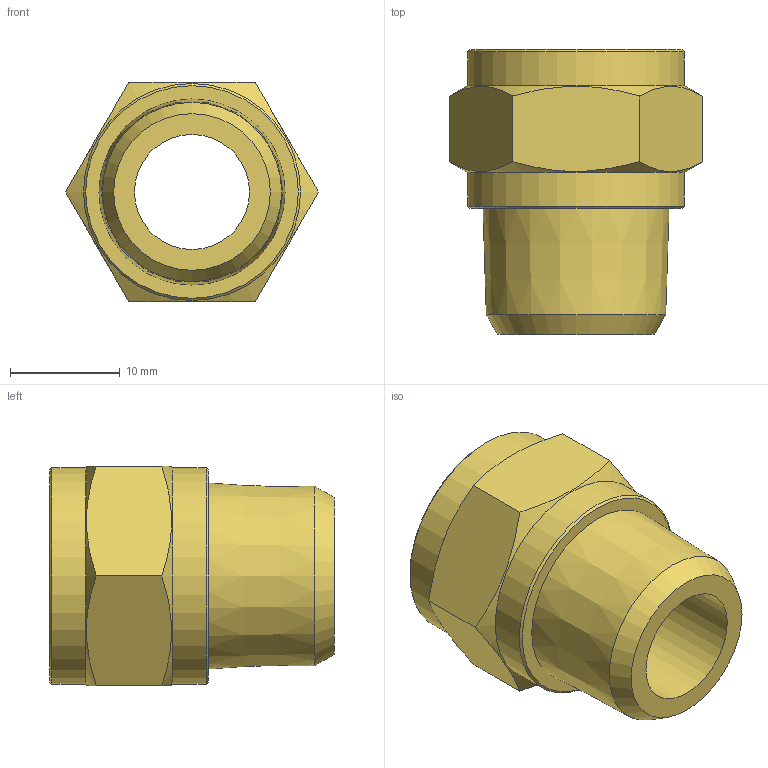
import cadquery as cq
import math

total_length = 26.0
body_length = 14.5
hex_length = 7.9
collar_length = (body_length - hex_length) / 2

across_flats = 20.0
across_corners = across_flats / math.cos(math.radians(30))
collar_diameter = 19.8
collar_chamfer = 0.2
hex_chamfer_angle = 30.0

spigot_root_diameter = 16.98
spigot_taper = 1 / 16
tip_diameter = 14.3
tip_length = 1.8
bore_diameter = 10.5

tip_y = -total_length / 2
rear_y = total_length / 2
tip_end_y = tip_y + tip_length
body_y = rear_y - body_length
hex_front_y = body_y + collar_length
hex_rear_y = hex_front_y + hex_length


def revolve_profile(points):
    """Revolve a closed (radius, y) profile about the Y axis."""
    return cq.Workplane("XY").polyline(points).close().revolve(360, (0, 0, 0), (0, 1, 0))


def make_collars():
    """Cylinder through the hexagon, showing as a collar on either side."""
    radius = collar_diameter / 2
    return revolve_profile([
        (0, body_y),
        (radius - collar_chamfer, body_y),
        (radius, body_y + collar_chamfer),
        (radius, rear_y - collar_chamfer),
        (radius - collar_chamfer, rear_y),
        (0, rear_y),
    ])


def make_hexagon():
    """Hexagonal prism with flats facing +Z and -Z and conically chamfered corners."""
    prism = (
        cq.Workplane("XZ", origin=(0, hex_rear_y, 0))
        .polygon(6, across_corners)
        .extrude(hex_length)
    )
    inner_radius = collar_diameter / 2
    corner_radius = across_corners / 2
    chamfer_depth = (corner_radius - inner_radius) * math.tan(math.radians(hex_chamfer_angle))
    envelope = revolve_profile([
        (0, hex_front_y),
        (inner_radius, hex_front_y),
        (corner_radius, hex_front_y + chamfer_depth),
        (corner_radius, hex_rear_y - chamfer_depth),
        (inner_radius, hex_rear_y),
        (0, hex_rear_y),
    ])
    return prism.intersect(envelope)


def make_spigot():
    """Tapered spigot with a conical tip."""
    root_radius = spigot_root_diameter / 2
    end_radius = root_radius - (body_y - tip_end_y) * spigot_taper / 2
    return revolve_profile([
        (0, tip_y),
        (tip_diameter / 2, tip_y),
        (end_radius, tip_end_y),
        (root_radius, body_y),
        (0, body_y),
    ])


def make_bore():
    """Straight through bore."""
    return cq.Workplane("XZ", origin=(0, rear_y, 0)).circle(bore_diameter / 2).extrude(total_length)


result = make_collars().union(make_hexagon()).union(make_spigot()).cut(make_bore())